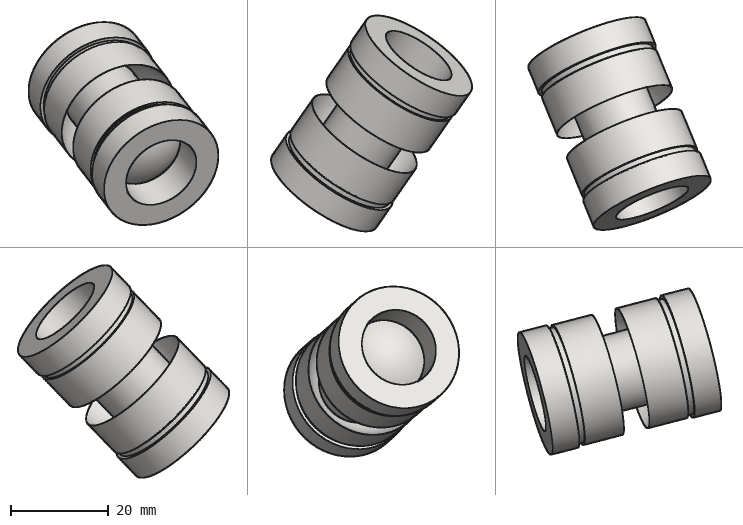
import cadquery as cq
import math

length = 36.0
flange_diameter = 26.0

land_diameter = 25.5
groove_diameter = 24.5
neck_diameter = 16.0
flange_width = 5.7
groove_width = 1.3
neck_width = 5.4

hollow_radius = flange_diameter / 2

bore_diameter = neck_diameter
web_thickness = 0.07
dome_radius = hollow_radius + web_thickness

half_length = length / 2
flange_start = half_length - flange_width
groove_start = flange_start - groove_width


def sphere_reach(sphere_radius, radius):
    """Axial distance from the sphere's centre to its circle of the given radius."""
    return math.sqrt(sphere_radius**2 - radius**2)


def cylinder(diameter, start, end):
    """Cylinder along X between two positions."""
    return cq.Workplane("YZ").workplane(offset=start).circle(diameter / 2).extrude(end - start)


def stepped_body():
    """Solid round body with its flanges and grooves."""
    body = cylinder(groove_diameter, -half_length, half_length)
    body = body.union(cylinder(land_diameter, -groove_start, groove_start))
    body = body.union(cylinder(flange_diameter, -half_length, -flange_start))
    return body.union(cylinder(flange_diameter, flange_start, half_length))


def neck_gap():
    """Ring-shaped cavity around the neck: the spherical hollow and its opening between the lands."""
    neck_radius = neck_diameter / 2
    hollow_end = sphere_reach(hollow_radius, neck_radius)
    opening = cylinder(flange_diameter, -neck_width / 2, neck_width / 2)
    hollow = (
        cq.Workplane("XY")
        .moveTo(-hollow_end, neck_radius)
        .threePointArc((0, hollow_radius), (hollow_end, neck_radius))
        .close()
        .revolve(360, (0, 0, 0), (1, 0, 0))
    )
    return opening.cut(cylinder(neck_diameter, -neck_width / 2, neck_width / 2)).union(hollow)


def bore(side):
    """Blind bore with a domed floor, at the +X end (side 1) or the -X end (side -1)."""
    bore_radius = bore_diameter / 2
    opening = side * half_length
    floor_edge = side * sphere_reach(dome_radius, bore_radius)
    floor_middle = side * sphere_reach(dome_radius, bore_radius / 2)
    floor_tip = side * dome_radius
    profile = (
        cq.Workplane("XY")
        .moveTo(opening, 0)
        .lineTo(opening, bore_radius)
        .lineTo(floor_edge, bore_radius)
        .threePointArc((floor_middle, bore_radius / 2), (floor_tip, 0))
        .close()
    )
    return profile.revolve(360, (0, 0, 0), (1, 0, 0))


result = stepped_body().cut(neck_gap()).cut(bore(1)).cut(bore(-1))